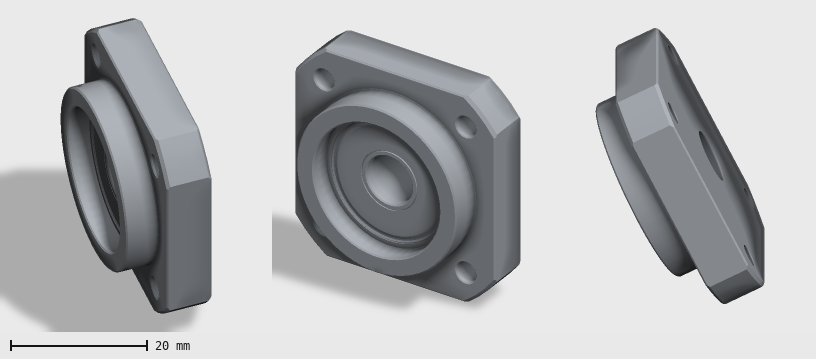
import cadquery as cq

side = 35
flange_thickness = 7
corner_diameter = 43.0
corner_chamfer = 0.5
flat_chamfer = 0.25

spigot_diameter = 28
spigot_length = 5.0
spigot_chamfer = 0.25
flare_diameter = 28.5
flare_length = 0.15

bore_diameter = 22.0
bore_depth = 3.5
rim_chamfer = 0.2

gap_depth = 0.2
outer_gap_outer_diameter = 20.5
outer_gap_inner_diameter = 20.1
inner_gap_outer_diameter = 9.87
inner_gap_inner_diameter = 9.5
dish_floor_outer_diameter = 19.6
dish_floor_inner_diameter = 19.08
dish_shoulder_diameter = 18.27
dish_lip_diameter = 18.05
dish_shoulder_depth = 0.05
dish_depth = 0.2

center_hole_diameter = 8.0
center_hole_chamfer = 0.18
mount_hole_diameter = 3.4
mount_hole_chamfer = 0.18
mount_circle_diameter = 35

flange_face = -flange_thickness
spigot_face = flange_face - spigot_length
bore_floor = spigot_face + bore_depth


def turned(profile):
    """Revolve a closed outline of (diameter, y) points about the Y axis."""
    points = [(diameter / 2, y) for diameter, y in profile]
    return cq.Workplane("XY").polyline(points).close().revolve(360, (0, 0, 0), (0, 1, 0))


def chamfered_bore(diameter, chamfer, front, back):
    """Solid plug for cutting a hole on the Y axis, widened by a chamfer at its front end."""
    rim_diameter = diameter + 2 * chamfer
    return turned([
        (0, front),
        (rim_diameter, front),
        (diameter, front + chamfer),
        (diameter, back),
        (0, back),
    ])


def ring_groove(outer_diameter, inner_diameter, depth):
    """Cutter for a square-sided ring recess in the bore floor."""
    return turned([
        (outer_diameter, bore_floor),
        (outer_diameter, bore_floor + depth),
        (inner_diameter, bore_floor + depth),
        (inner_diameter, bore_floor),
    ])


def make_flange():
    disc = cq.Workplane("XZ").circle(corner_diameter / 2).extrude(flange_thickness)
    disc = disc.edges().chamfer(corner_chamfer)
    block = cq.Workplane("XZ").rect(side, side).extrude(flange_thickness)
    block = block.faces("<Y or >Y").edges().chamfer(flat_chamfer)
    return disc.intersect(block)


def make_spigot():
    tip_diameter = spigot_diameter - 2 * spigot_chamfer
    return turned([
        (0, spigot_face),
        (tip_diameter, spigot_face),
        (spigot_diameter, spigot_face + spigot_chamfer),
        (spigot_diameter, flange_face - flare_length),
        (flare_diameter, flange_face),
        (0, flange_face),
    ])


def make_dish():
    """Cutter for a ring recess with sloped sides and a bevelled inner lip in the bore floor."""
    dish_floor = bore_floor + dish_depth
    return turned([
        (outer_gap_inner_diameter, bore_floor),
        (dish_floor_outer_diameter, dish_floor),
        (dish_floor_inner_diameter, dish_floor),
        (dish_shoulder_diameter, bore_floor + dish_shoulder_depth),
        (dish_lip_diameter, bore_floor),
    ])


def make_mount_holes():
    """Cutters for four chamfered holes on a bolt circle, one towards each corner."""
    hole = chamfered_bore(mount_hole_diameter, mount_hole_chamfer, flange_face, 0)
    hole = hole.translate((mount_circle_diameter / 2, 0, 0))
    holes = cq.Workplane("XZ")
    for angle in (45, 135, 225, 315):
        holes = holes.add(hole.rotate((0, 0, 0), (0, 1, 0), angle))
    return holes.combine()


result = (
    make_flange()
    .union(make_spigot())
    .cut(chamfered_bore(bore_diameter, rim_chamfer, spigot_face, bore_floor))
    .cut(ring_groove(outer_gap_outer_diameter, outer_gap_inner_diameter, gap_depth))
    .cut(make_dish())
    .cut(ring_groove(inner_gap_outer_diameter, inner_gap_inner_diameter, gap_depth))
    .cut(chamfered_bore(center_hole_diameter, center_hole_chamfer, bore_floor, 0))
    .cut(make_mount_holes())
)